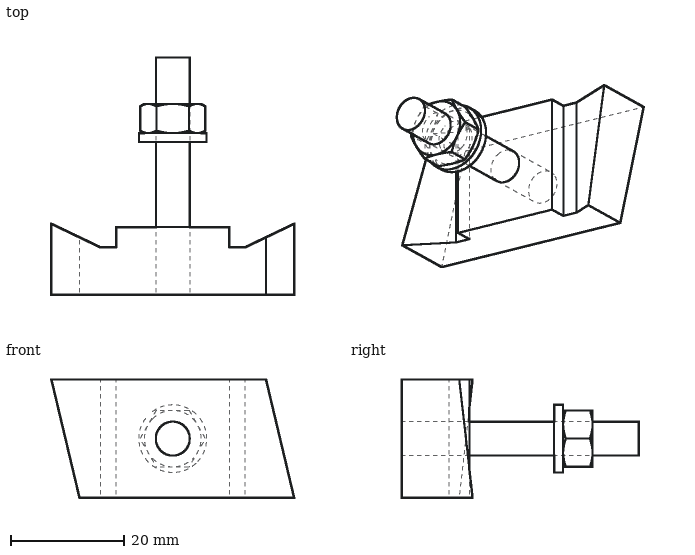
import cadquery as cq
import math

block_length = 43.0
block_height = 21.0
slant_offset = 5.0
ear_depth = 12.6
floor_depth = 8.43
boss_depth = 12.0
boss_width = 20.0
floor_width = 25.63

stud_length = 42.0
stud_diameter = 6.0

washer_diameter = 12.0
washer_thickness = 1.6
washer_start = 27.0
nut_width = 10.0
nut_thickness = 5.2
nut_chamfer_angle = 30.0
nut_start = washer_start + washer_thickness
nut_corner_diameter = nut_width / math.cos(math.radians(30))
nut_chamfer_width = (nut_corner_diameter - nut_width) / 2
nut_chamfer_depth = nut_chamfer_width * math.tan(math.radians(nut_chamfer_angle))


def rod(diameter, start, length):
    """Cylinder around the Y axis, running from y = start toward +Y."""
    return cq.Workplane("XZ", origin=(0, start, 0)).circle(diameter / 2).extrude(-length)


def make_stud():
    """Plain round stud, as long as the whole assembly is deep."""
    return rod(stud_diameter, 0, stud_length)


def make_block(stud):
    """Parallelogram block with two sloping ears and a central boss on its back."""
    half_length = block_length / 2
    half_height = block_height / 2
    half_floor = floor_width / 2
    half_boss = boss_width / 2
    back_profile = (
        cq.Workplane("XY", origin=(0, 0, -half_height))
        .polyline([
            (-half_length, 0),
            (half_length, 0),
            (half_length, ear_depth),
            (half_floor, floor_depth),
            (half_boss, floor_depth),
            (half_boss, boss_depth),
            (-half_boss, boss_depth),
            (-half_boss, floor_depth),
            (-half_floor, floor_depth),
            (-half_length, ear_depth),
        ])
        .close()
        .extrude(block_height)
    )
    slanted_outline = (
        cq.Workplane("XZ")
        .polyline([
            (-half_length, half_height),
            (half_length - slant_offset, half_height),
            (half_length, -half_height),
            (-half_length + slant_offset, -half_height),
        ])
        .close()
        .extrude(-ear_depth)
    )
    return back_profile.intersect(slanted_outline).cut(stud)


def make_washer():
    """Flat washer fitting closely around the stud."""
    disc = rod(washer_diameter, washer_start, washer_thickness)
    return disc.cut(rod(stud_diameter, washer_start, washer_thickness))


def make_nut():
    """Hexagon nut with two corners on the Z = 0 plane and chamfered corners at both ends."""
    hexagon = (
        cq.Workplane("XZ", origin=(0, nut_start, 0))
        .polygon(6, nut_corner_diameter)
        .extrude(-nut_thickness)
    )
    corner_envelope = (
        cq.Workplane("XY")
        .polyline([
            (0, nut_start),
            (nut_width / 2, nut_start),
            (nut_corner_diameter / 2, nut_start + nut_chamfer_depth),
            (nut_corner_diameter / 2, nut_start + nut_thickness - nut_chamfer_depth),
            (nut_width / 2, nut_start + nut_thickness),
            (0, nut_start + nut_thickness),
        ])
        .close()
        .revolve(360, (0, 0, 0), (0, 1, 0))
    )
    bore = rod(stud_diameter, nut_start, nut_thickness)
    return hexagon.intersect(corner_envelope).cut(bore)


stud = make_stud()
block = make_block(stud)
washer = make_washer()
nut = make_nut()

result = cq.Compound.makeCompound([block.val(), stud.val(), washer.val(), nut.val()])